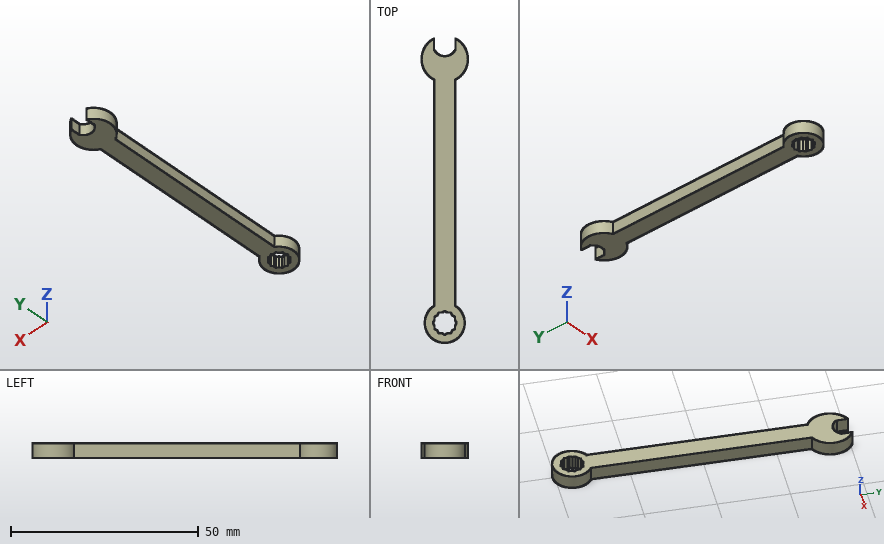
import cadquery as cq
import math

length = 81.3
thickness = 4.0
head_width = 12.4
head_radius = head_width / 2
ring_radius = 5.4
shank_width = 5.6
jaw_width = 5.6
socket_size = 5.45
jaw_floor_height = 0.8

jaw_tip_height = math.sqrt(head_radius**2 - (jaw_width / 2) ** 2)
ring_y = ring_radius
head_y = length - jaw_tip_height
hexagon_diameter = socket_size / math.cos(math.pi / 6)


def disc(y, radius):
    return cq.Workplane("XY").center(0, y).circle(radius).extrude(thickness)


def shank():
    span = head_y - ring_y
    return cq.Workplane("XY").center(0, ring_y + span / 2).rect(shank_width, span).extrude(thickness)


def jaw_opening():
    """Parallel-sided slot, open at the tips, with a shallow arc floor."""
    half_width = jaw_width / 2
    floor_radius = hexagon_diameter / 2
    floor_y = head_y + jaw_floor_height
    floor_depth = floor_radius - math.sqrt(floor_radius**2 - half_width**2)
    corner_y = floor_y + floor_depth
    open_y = head_y + head_radius
    return (
        cq.Workplane("XY")
        .moveTo(-half_width, open_y)
        .lineTo(-half_width, corner_y)
        .threePointArc((0, floor_y), (half_width, corner_y))
        .lineTo(half_width, open_y)
        .close()
        .extrude(thickness)
    )


def hexagon(angle):
    return (
        cq.Workplane("XY")
        .polygon(6, hexagon_diameter)
        .extrude(thickness)
        .rotate((0, 0, 0), (0, 0, 1), angle)
        .translate((0, ring_y, 0))
    )


result = disc(ring_y, ring_radius).union(shank()).union(disc(head_y, head_radius))
result = result.cut(jaw_opening())

for angle in (0, 30):
    result = result.cut(hexagon(angle))